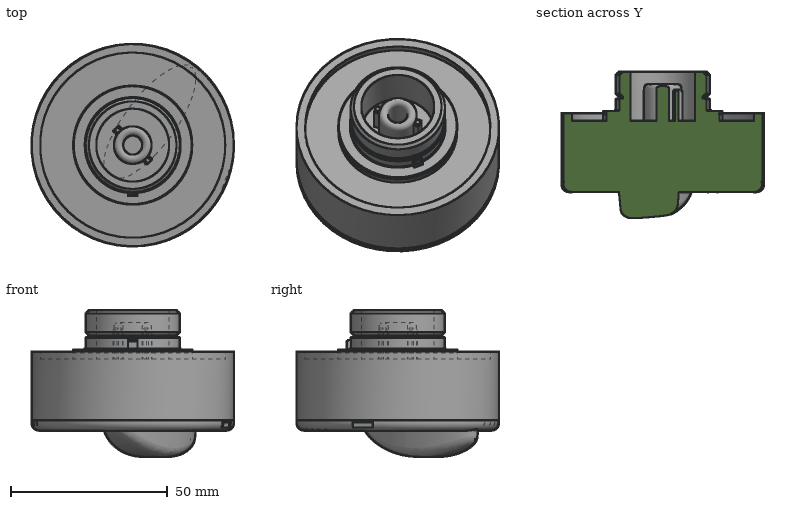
import cadquery as cq
import math

body_radius = 32.3
rim_top = 25.25
neck_top = 38.45
overall_height = 46.85
bulge_depth = overall_height - neck_top

cap_fillet = 2.6
seam_height = 3.2
seam_size = 0.2

notch_angle = -20.5
notch_width = 6.8
notch_bottom = 1.1
notch_height = 1.6
notch_floor_radius = 31.5

recess_radius = 29.5
recess_floor = 22.8

flange_radius = 19.0
flange_top = 26.0
flange_chamfer = 0.2
flange_groove_size = 0.1
flange_groove_bottom = 24.9

neck_radius = 15.05
neck_chamfer = 1.1
bore_radius = 11.6
groove_radius = neck_radius - neck_chamfer
head_bottom = 31.45
groove_top = head_bottom - neck_chamfer
collar_top = 29.9
collar_chamfer = 0.3
collar_foot_radius = 15.3
collar_foot_height = 0.2

key_width = 3.0
key_top = 29.0
key_reach = 16.3
key_top_chamfer = 0.6
key_bottom_chamfer = 0.3

ring_radius = 4.5
ring_section_radius = 1.5
ring_top = 34.5
hub_radius = ring_radius + ring_section_radius
hub_hole_radius = ring_radius - ring_section_radius
ring_centre = ring_top - ring_section_radius
pin_reach = 7.55
pin_width = 2.45
pin_top = 32.7
pin_chamfer = 0.5
pin_angle = -45.0

bulge_angle = 53.2
bulge_centre = 8.9
bulge_half_length = 22.3
bulge_half_width = 8.1
bulge_low_point = 12.2
bulge_face_radius = 38.1
bulge_fillet = 3.1
bulge_taper = 5.0
bulge_root = 6.45


def disc(radius, bottom, top):
    """Upright cylinder on the main axis between two heights."""
    return cq.Workplane("XY").workplane(offset=bottom).circle(radius).extrude(top - bottom)


def groove_ring(radius, bottom, size):
    """Ring that cuts a small square groove into a cylinder of the given radius."""
    top = bottom + size
    return disc(radius + size, bottom, top).cut(disc(radius - size, bottom, top))


def make_housing():
    housing = disc(body_radius, 0, rim_top).faces("<Z").edges().fillet(cap_fillet)
    seam = groove_ring(body_radius, seam_height, seam_size)
    recess = disc(recess_radius, recess_floor, rim_top)
    return housing.cut(seam).cut(recess)


def make_notch():
    depth = body_radius - notch_floor_radius
    notch = (
        cq.Workplane("XY")
        .box(2 * depth, notch_width, notch_height, centered=(False, True, False))
        .translate((notch_floor_radius, 0, notch_bottom))
    )
    return notch.rotate((0, 0, 0), (0, 0, 1), notch_angle)


def make_neck():
    """Flange, collar, groove and chamfered head as one turned tube."""
    profile = [
        (bore_radius, recess_floor),
        (flange_radius, recess_floor),
        (flange_radius, flange_top - flange_chamfer),
        (flange_radius - flange_chamfer, flange_top),
        (collar_foot_radius, flange_top),
        (collar_foot_radius, flange_top + collar_foot_height),
        (neck_radius, flange_top + collar_foot_height),
        (neck_radius, collar_top - collar_chamfer),
        (neck_radius - collar_chamfer, collar_top),
        (groove_radius, collar_top),
        (groove_radius, groove_top),
        (neck_radius, head_bottom),
        (neck_radius, neck_top - neck_chamfer),
        (neck_radius - neck_chamfer, neck_top),
        (bore_radius, neck_top),
    ]
    neck = cq.Workplane("XZ").polyline(profile).close().revolve(360, (0, 0), (0, 1))
    return neck.cut(groove_ring(flange_radius, flange_groove_bottom, flange_groove_size))


def make_key():
    inner = (bore_radius + neck_radius) / 2
    key = (
        cq.Workplane("XY")
        .box(key_width, key_reach - inner, key_top - flange_top, centered=(True, False, False))
        .translate((0, -key_reach, flange_top))
    )
    key = key.edges(">Z and <Y").chamfer(key_top_chamfer)
    return key.edges("<Z and <Y").chamfer(key_bottom_chamfer)


def make_hub():
    """Hollow post with a rounded top and a pin on either side."""
    hub = disc(hub_radius, recess_floor, ring_centre)
    ring = cq.Workplane("XZ").center(ring_radius, ring_centre).circle(ring_section_radius)
    hub = hub.union(ring.revolve(360, (-ring_radius, 0), (-ring_radius, 1)))
    pins = (
        cq.Workplane("XY")
        .box(2 * pin_reach, pin_width, pin_top - recess_floor, centered=(True, True, False))
        .edges("|X and >Z")
        .chamfer(pin_chamfer)
        .rotate((0, 0, 0), (0, 0, 1), pin_angle)
        .translate((0, 0, recess_floor))
    )
    return hub.union(pins).cut(disc(hub_hole_radius, recess_floor, ring_top))


def make_bulge():
    root_growth = bulge_root * math.tan(math.radians(bulge_taper))
    column = (
        cq.Workplane("XY")
        .workplane(offset=bulge_root)
        .center(bulge_centre, 0)
        .ellipse(bulge_half_length + root_growth, bulge_half_width + root_growth)
        .extrude(-(bulge_root + 2 * bulge_depth), taper=bulge_taper)
    )
    face_cylinder = (
        cq.Workplane("XZ")
        .center(bulge_low_point, bulge_face_radius - bulge_depth)
        .circle(bulge_face_radius)
        .extrude(2 * bulge_half_width, both=True)
    )
    bulge = column.intersect(face_cylinder)
    bulge = bulge.faces("<Z").edges().fillet(bulge_fillet)
    return bulge.rotate((0, 0, 0), (0, 0, 1), bulge_angle)


result = (
    make_housing()
    .cut(make_notch())
    .union(make_neck())
    .union(make_key())
    .union(make_hub())
    .union(make_bulge())
)